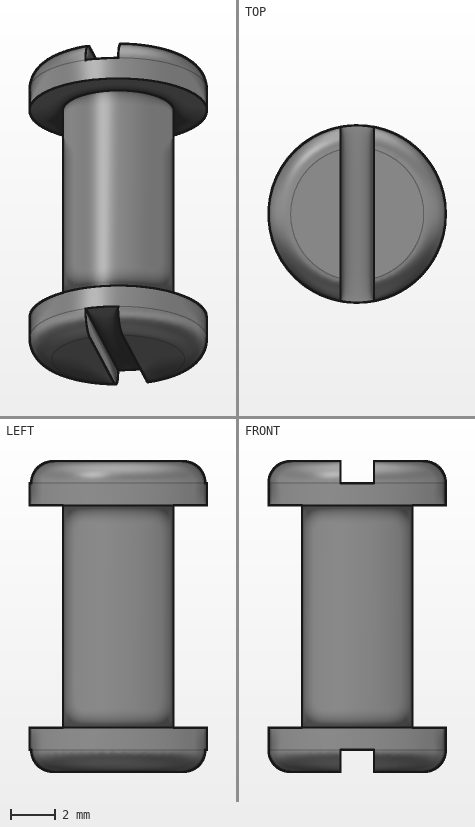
import cadquery as cq

total_length = 14.0
head_diameter = 8.0
head_height = 2.0
shank_diameter = 5.0
edge_radius = head_height / 2
slot_width = 1.5
slot_depth = head_height / 2

shank_length = total_length - 2 * head_height


def slotted_head():
    """Rounded head standing on the XY plane, with a driver slot along Y in its top."""
    head = (
        cq.Workplane("XY")
        .circle(head_diameter / 2)
        .extrude(head_height)
        .faces(">Z")
        .edges()
        .fillet(edge_radius)
    )
    slot = (
        cq.Workplane("XY")
        .workplane(offset=head_height - slot_depth)
        .rect(slot_width, head_diameter)
        .extrude(slot_depth)
    )
    return head.cut(slot)


shank = cq.Workplane("XY").circle(shank_diameter / 2).extrude(shank_length / 2, both=True)
top_head = slotted_head().translate((0, 0, shank_length / 2))
bottom_head = top_head.mirror("XY")

result = shank.union(top_head).union(bottom_head)